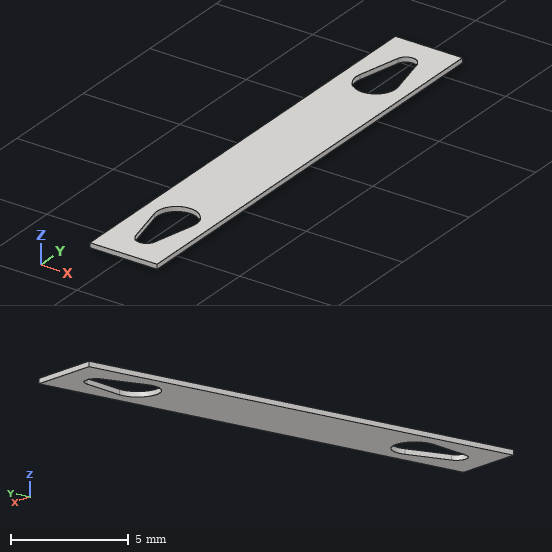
import cadquery as cq
import math

length = 23.0
width = 3.5
thickness = 0.25

wide_radius = 1.01
narrow_radius = 0.5
wide_center_y = 7.5
narrow_center_y = 9.75


def teardrop_cutter():
    """Teardrop prism on the +Y half, with its narrow end outward."""
    center_distance = narrow_center_y - wide_center_y
    tangent_angle = math.asin((wide_radius - narrow_radius) / center_distance)
    across = math.cos(tangent_angle)
    along = math.sin(tangent_angle)
    wide_x = wide_radius * across
    wide_y = wide_center_y + wide_radius * along
    narrow_x = narrow_radius * across
    narrow_y = narrow_center_y + narrow_radius * along
    return (
        cq.Workplane("XY")
        .moveTo(wide_x, wide_y)
        .lineTo(narrow_x, narrow_y)
        .threePointArc((0, narrow_center_y + narrow_radius), (-narrow_x, narrow_y))
        .lineTo(-wide_x, wide_y)
        .threePointArc((0, wide_center_y - wide_radius), (wide_x, wide_y))
        .close()
        .extrude(thickness)
    )


strip = cq.Workplane("XY").box(width, length, thickness, centered=(True, True, False))
upper_hole = teardrop_cutter()
lower_hole = upper_hole.mirror("XZ")
result = strip.cut(upper_hole).cut(lower_hole)